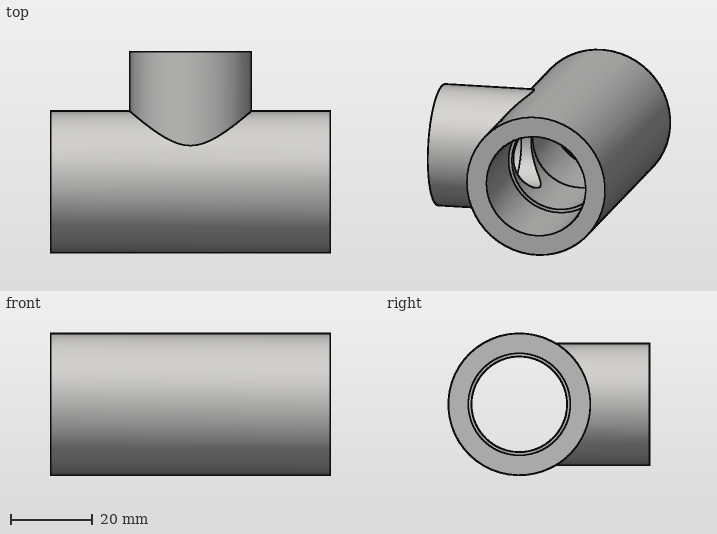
import cadquery as cq

run_length = 68.5
run_diameter = 34.8
run_socket_diameter = 25.0
run_bore_diameter = 23.35
run_socket_depth = 23.3

branch_diameter = 29.9
branch_reach = 31.9
branch_socket_diameter = 20.0
branch_bore_diameter = 18.35
branch_socket_depth = 17.8


def run_cylinder(diameter, start, length):
    """Cylinder along +X, starting at X = start."""
    return cq.Workplane("YZ", origin=(start, 0, 0)).circle(diameter / 2).extrude(length)


def branch_cylinder(diameter, start, length):
    """Cylinder along +Y, starting at Y = start."""
    return cq.Workplane("XZ", origin=(0, start, 0)).circle(diameter / 2).extrude(-length)


run_start = -run_length / 2
body = run_cylinder(run_diameter, run_start, run_length)
body = body.union(branch_cylinder(branch_diameter, 0, branch_reach))

body = body.cut(run_cylinder(run_bore_diameter, run_start, run_length))
for socket_start in (run_start, run_length / 2 - run_socket_depth):
    body = body.cut(run_cylinder(run_socket_diameter, socket_start, run_socket_depth))

body = body.cut(branch_cylinder(branch_bore_diameter, 0, branch_reach))
branch_socket_start = branch_reach - branch_socket_depth
body = body.cut(branch_cylinder(branch_socket_diameter, branch_socket_start, branch_socket_depth))

result = body